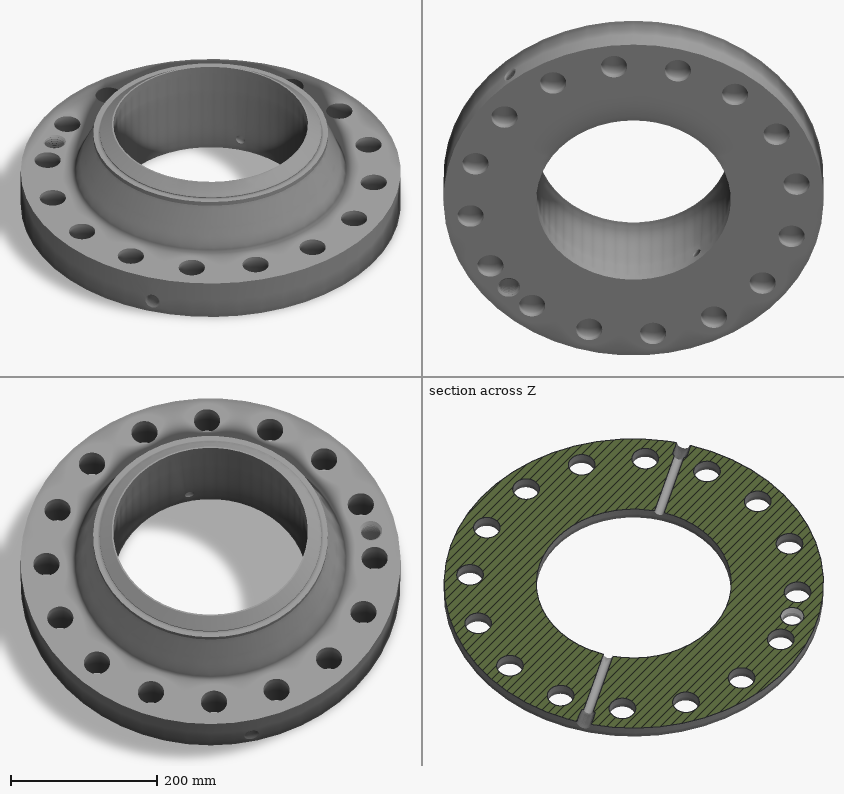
import cadquery as cq
import math

flange_dia = 520.5
flange_thickness = 57.0
bore_dia = 266.5

total_height = 136.5
hub_foot_dia = 374.0
neck_dia = 322.0
neck_bottom_z = 116.0
neck_top_z = 122.5
hub_foot_fillet = 4.0

land_width = 2.0
bevel_angle = 37.5
bevel_step = 1.3

bolt_count = 16
bolt_circle_dia = 450.0
bolt_hole_dia = 36.0

jack_major_dia = 31.0
jack_minor_dia = 27.0
jack_pitch = 3.5

tap_z = 17.5
tap_hole_dia = 13.0
tap_major_dia = 21.5
tap_minor_dia = 17.5
tap_pitch = 1.8
tap_thread_turns = 12
tap_taper = 1 / 16
drill_point_angle = 118.0


def make_body():
    """Revolve the flange, tapered hub and bevelled welding end as one ring."""
    bore_r = bore_dia / 2
    land_r = bore_r + land_width
    bevel_foot_z = neck_top_z + bevel_step
    bevel_rise = total_height - bevel_foot_z
    bevel_foot_r = land_r + bevel_rise / math.tan(math.radians(bevel_angle))
    profile = (
        cq.Workplane("XZ")
        .moveTo(bore_r, 0)
        .lineTo(flange_dia / 2, 0)
        .lineTo(flange_dia / 2, flange_thickness)
        .lineTo(hub_foot_dia / 2, flange_thickness)
        .lineTo(neck_dia / 2, neck_bottom_z)
        .lineTo(neck_dia / 2, neck_top_z)
        .lineTo(bevel_foot_r, neck_top_z)
        .lineTo(bevel_foot_r, bevel_foot_z)
        .lineTo(land_r, total_height)
        .lineTo(bore_r, total_height)
        .close()
    )
    body = profile.revolve(360, (0, 0, 0), (0, 1, 0))
    margin = hub_foot_fillet / 2
    foot_reach = hub_foot_dia / 2 + margin
    foot_zone = cq.selectors.BoxSelector(
        (-foot_reach, -foot_reach, flange_thickness - margin),
        (foot_reach, foot_reach, flange_thickness + margin),
        boundingbox=True,
    )
    return body.edges(foot_zone).fillet(hub_foot_fillet)


def thread_points(major_dia, minor_dia, pitch, turns, taper=0.0):
    """Points (radius, depth) of V-shaped thread rings, narrowing by `taper` in diameter per unit depth."""
    points = [(major_dia / 2, 0)]
    for turn in range(turns):
        crest_depth = (turn + 0.5) * pitch
        root_depth = (turn + 1) * pitch
        points.append(((minor_dia - taper * crest_depth) / 2, crest_depth))
        points.append(((major_dia - taper * root_depth) / 2, root_depth))
    return points


def make_bolt_holes():
    return (
        cq.Workplane("XY")
        .polarArray(bolt_circle_dia / 2, 180 / bolt_count, 360, bolt_count)
        .circle(bolt_hole_dia / 2)
        .extrude(flange_thickness)
    )


def make_jack_hole():
    """Threaded hole through the flange, centred on the bolt circle."""
    turns = round(flange_thickness / jack_pitch)
    pitch = flange_thickness / turns
    points = thread_points(jack_major_dia, jack_minor_dia, pitch, turns)
    outline = [(0, 0)] + points + [(0, flange_thickness)]
    hole = cq.Workplane("XZ").polyline(outline).close().revolve(360, (0, 0, 0), (0, 1, 0))
    return hole.translate((-bolt_circle_dia / 2, 0, 0))


def make_tap():
    """Threaded socket in the +Y rim, then a drill point and a small hole into the bore."""
    rim_r = flange_dia / 2
    thread_depth = tap_thread_turns * tap_pitch
    thread_end_dia = tap_major_dia - tap_taper * thread_depth
    point_depth = (thread_end_dia - tap_hole_dia) / 2 / math.tan(math.radians(drill_point_angle / 2))
    outline = [(0, 0)]
    outline += thread_points(tap_major_dia, tap_minor_dia, tap_pitch, tap_thread_turns, tap_taper)
    outline.append((tap_hole_dia / 2, thread_depth + point_depth))
    outline.append((tap_hole_dia / 2, rim_r))
    outline.append((0, rim_r))
    tap = cq.Workplane("XZ").polyline(outline).close().revolve(360, (0, 0, 0), (0, 1, 0))
    return tap.rotate((0, 0, 0), (1, 0, 0), 90).translate((0, rim_r, tap_z))


tap_cutter = make_tap()
result = (
    make_body()
    .cut(make_bolt_holes())
    .cut(make_jack_hole())
    .cut(tap_cutter)
    .cut(tap_cutter.mirror("XZ"))
)